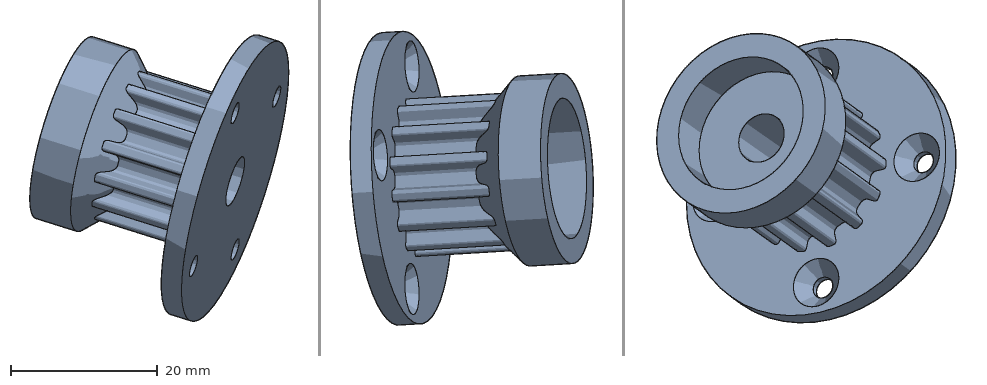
import cadquery as cq
import math

total_length = 25.0
flange_diameter = 40.0
flange_thickness = 3.0
flange_face_x = total_length - flange_thickness

hub_diameter = 26.0
hub_length = 6.0

tooth_count = 14
tip_radius = 10.75
root_radius = 8.5
tooth_width = 1.6
tip_fillet = 0.5
root_fillet = 1.0

bore_diameter = 7.0
recess_diameter = 19.2
recess_depth = 6.0

screw_count = 4
screw_circle_diameter = 31.0
screw_hole_diameter = 3.0
countersink_diameter = 7.0
countersink_angle = 90.0


def polar(radius, angle, center=(0, 0)):
    """Point of the YZ plane at a radius and an angle (radians from Y) around a center."""
    return (center[0] + radius * math.cos(angle), center[1] + radius * math.sin(angle))


def add_arc(outline, center, radius, start_angle, end_angle):
    """Continue an outline with the arc that runs from start_angle to end_angle."""
    middle = polar(radius, (start_angle + end_angle) / 2, center)
    return outline.threePointArc(middle, polar(radius, end_angle, center))


def hub():
    """Solid hub cylinder with its 45 degree cone carried on to the axis inside the teeth."""
    hub_radius = hub_diameter / 2
    half_section = [
        (0, 0),
        (0, hub_radius),
        (hub_length, hub_radius),
        (hub_length + hub_radius, 0),
    ]
    return cq.Workplane("XZ").polyline(half_section).close().revolve(360, (0, 0, 0), (1, 0, 0))


def toothed_core():
    """Solid core of parallel-sided teeth with rounded tips and filleted roots."""
    axis = (0, 0)
    half_width = tooth_width / 2
    quarter_turn = math.pi / 2
    pitch_angle = 2 * math.pi / tooth_count

    tip_center_radius = tip_radius - tip_fillet
    tip_angle = math.asin((half_width - tip_fillet) / tip_center_radius)
    root_center_radius = root_radius + root_fillet
    root_angle = math.asin((half_width + root_fillet) / root_center_radius)

    outline = cq.Workplane("YZ", origin=(hub_length, 0, 0)).moveTo(*polar(root_radius, -root_angle))
    for index in range(tooth_count):
        middle = index * pitch_angle
        first_side = middle - quarter_turn
        last_side = middle + quarter_turn
        root_start = middle - root_angle
        tip_start = middle - tip_angle
        tip_end = middle + tip_angle
        root_end = middle + root_angle

        root_center = polar(root_center_radius, root_start)
        outline = add_arc(outline, root_center, root_fillet, root_start + math.pi, last_side)
        tip_center = polar(tip_center_radius, tip_start)
        outline = outline.lineTo(*polar(tip_fillet, first_side, tip_center))
        outline = add_arc(outline, tip_center, tip_fillet, first_side, tip_start)

        outline = add_arc(outline, axis, tip_radius, tip_start, tip_end)

        tip_center = polar(tip_center_radius, tip_end)
        outline = add_arc(outline, tip_center, tip_fillet, tip_end, last_side)
        root_center = polar(root_center_radius, root_end)
        outline = outline.lineTo(*polar(root_fillet, first_side, root_center))
        outline = add_arc(outline, root_center, root_fillet, first_side, root_end - math.pi)

        outline = add_arc(outline, axis, root_radius, root_end, root_start + pitch_angle)
    return outline.close().extrude(flange_face_x - hub_length)


def flange():
    """Flange disc with screw holes countersunk from the toothed side."""
    toothed_side = cq.Workplane("YZ", origin=(flange_face_x, 0, 0))
    disc = toothed_side.circle(flange_diameter / 2).extrude(flange_thickness)
    return (
        disc.faces("<X").workplane()
        .polarArray(screw_circle_diameter / 2, 0, 360, screw_count)
        .cskHole(screw_hole_diameter, countersink_diameter, countersink_angle)
    )


def central_openings():
    """Through bore and the wide recess at the open end of the hub."""
    bore = cq.Workplane("YZ").circle(bore_diameter / 2).extrude(total_length)
    recess = cq.Workplane("YZ").circle(recess_diameter / 2).extrude(recess_depth)
    return bore.union(recess)


result = hub().union(toothed_core()).union(flange()).cut(central_openings())